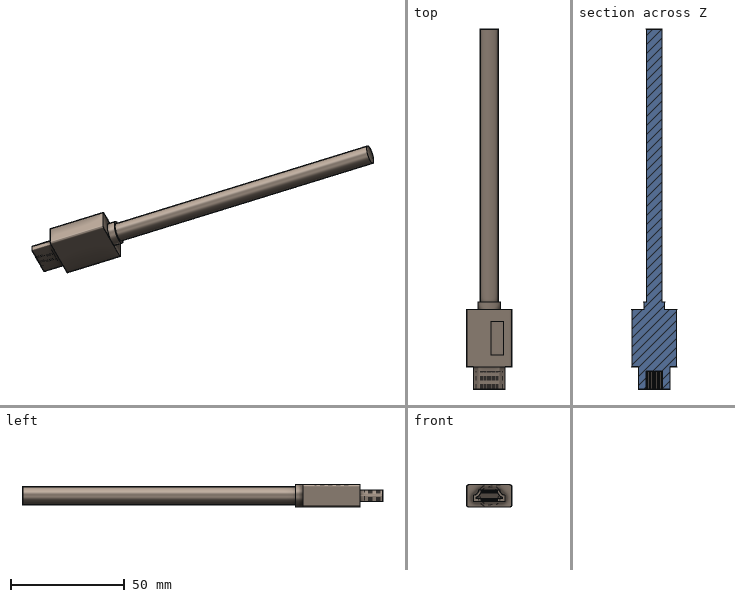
import cadquery as cq
import math

PLUG_LENGTH = 10.0
BODY_LENGTH = 25.2
COLLAR_LENGTH = 3.3
CABLE_LENGTH = 120.0
TOTAL_LENGTH = PLUG_LENGTH + BODY_LENGTH + COLLAR_LENGTH + CABLE_LENGTH

BODY_WIDTH = 20.0
BODY_HEIGHT = 10.0
BODY_EDGE_RADIUS = 1.2
COLLAR_DIAMETER = 10.0
CABLE_DIAMETER = 8.0

LABEL_WIDTH = 5.4
LABEL_LENGTH = 14.7
LABEL_DEPTH = 0.2
LABEL_CENTER_X = 3.5
LABEL_SETBACK = 5.2

PLUG_WIDTH = 14.0
PLUG_HEIGHT = 5.2
SCOOP_RADIUS = 2.3
SIDE_WALL = 1.2
FLAT_WALL = 1.4
PLUG_EDGE_RADIUS = 0.4
CAVITY_DEPTH = 8.0

CONTACT_DIAMETER = 0.5
CONTACT_COUNT = 10
CONTACT_PITCH = 0.75

TIP_Y = -TOTAL_LENGTH / 2
BODY_Y = TIP_Y + PLUG_LENGTH
COLLAR_Y = BODY_Y + BODY_LENGTH
CABLE_Y = COLLAR_Y + COLLAR_LENGTH


def section_plane(y):
    """XZ sketch plane at the given Y; a positive extrusion runs toward +Y."""
    return cq.Workplane(cq.Plane(origin=(0, y, 0), xDir=(-1, 0, 0), normal=(0, 1, 0)))


def scooped_prism(wall_side, wall_flat, length):
    """Plug outline moved inward by the two wall thicknesses, extruded back from the tip."""
    half_width = PLUG_WIDTH / 2 - wall_side
    half_height = PLUG_HEIGHT / 2 - wall_flat
    radius = SCOOP_RADIUS + wall_side

    center_x = PLUG_WIDTH / 2
    center_z = PLUG_HEIGHT / 2
    top_x = center_x - math.sqrt(radius**2 - wall_flat**2)
    side_z = center_z - math.sqrt(radius**2 - wall_side**2)
    middle_x = center_x - radius * math.cos(math.pi / 4)
    middle_z = center_z - radius * math.sin(math.pi / 4)

    return (
        section_plane(TIP_Y)
        .moveTo(-half_width, -half_height)
        .lineTo(half_width, -half_height)
        .lineTo(half_width, side_z)
        .threePointArc((middle_x, middle_z), (top_x, half_height))
        .lineTo(-top_x, half_height)
        .threePointArc((-middle_x, middle_z), (-half_width, side_z))
        .close()
        .extrude(length)
    )


def contact_holes():
    """Two rows of blind round holes, centred in the top and bottom walls."""
    row_z = PLUG_HEIGHT / 2 - FLAT_WALL / 2
    first_x = -CONTACT_PITCH * (CONTACT_COUNT - 1) / 2
    centers = []
    for z in (-row_z, row_z):
        for index in range(CONTACT_COUNT):
            centers.append((first_x + index * CONTACT_PITCH, z))
    tip_plane = section_plane(TIP_Y).pushPoints(centers)
    return tip_plane.circle(CONTACT_DIAMETER / 2).extrude(CAVITY_DEPTH)


def make_plug():
    shell = scooped_prism(0, 0, PLUG_LENGTH)
    shell = shell.edges("|Y").fillet(PLUG_EDGE_RADIUS)
    cavity = scooped_prism(SIDE_WALL, FLAT_WALL, CAVITY_DEPTH)
    return shell.cut(cavity).cut(contact_holes())


def make_body():
    block = section_plane(BODY_Y).rect(BODY_WIDTH, BODY_HEIGHT).extrude(BODY_LENGTH)
    block = block.edges("|Y").fillet(BODY_EDGE_RADIUS)
    label_y = BODY_Y + LABEL_SETBACK + LABEL_LENGTH / 2
    label = (
        cq.Workplane("XY", origin=(LABEL_CENTER_X, label_y, BODY_HEIGHT / 2))
        .rect(LABEL_WIDTH, LABEL_LENGTH)
        .extrude(-LABEL_DEPTH)
    )
    return block.cut(label)


def make_cable():
    collar = section_plane(COLLAR_Y).circle(COLLAR_DIAMETER / 2).extrude(COLLAR_LENGTH)
    cable = section_plane(CABLE_Y).circle(CABLE_DIAMETER / 2).extrude(CABLE_LENGTH)
    return collar.union(cable)


result = make_body().union(make_plug()).union(make_cable())